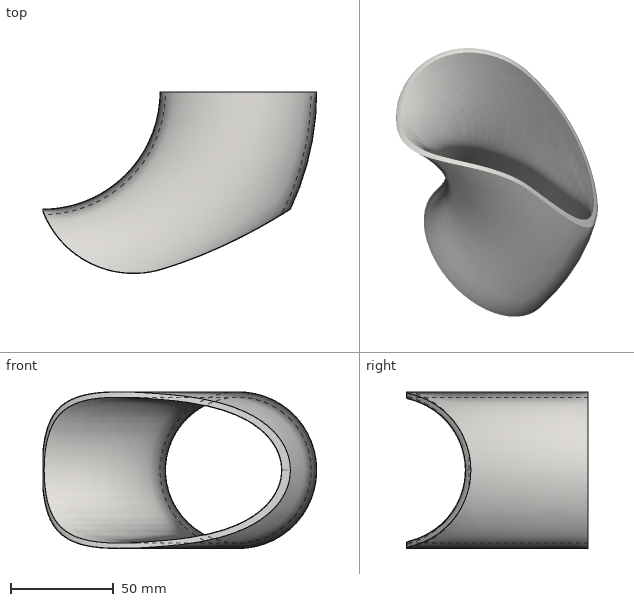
import cadquery as cq

bend_radius = 95.0
tube_radius = 38.0
wall = 2.7

blend_x = 57.9
toe_depth = 57.9


def parabola_depth(x):
    """Depth of the saddle parabola, whose focus lies on the bend axis."""
    return bend_radius - x**2 / (4 * bend_radius)


def make_elbow():
    """Hollow quarter bend about Z, running from the +X axis to the -Y axis."""
    return (
        cq.Workplane("XZ")
        .center(bend_radius, 0)
        .circle(tube_radius)
        .circle(tube_radius - wall)
        .revolve(90, (-bend_radius, 0), (-bend_radius, -1))
    )


def make_trim():
    """Prism that keeps the tube above the parabola and its tangent toe arc."""
    parabola_end_x = 2 * bend_radius
    control_x = (parabola_end_x + blend_x) / 2
    control_y = -(bend_radius - parabola_end_x * blend_x / (4 * bend_radius))
    return (
        cq.Workplane("XY")
        .moveTo(0, 0)
        .lineTo(parabola_end_x, 0)
        .bezier(
            [(control_x, control_y), (blend_x, -parabola_depth(blend_x))],
            includeCurrent=True,
        )
        .tangentArcPoint((0, -toe_depth), relative=False)
        .close()
        .extrude(2 * tube_radius, both=True)
    )


result = make_elbow().intersect(make_trim())